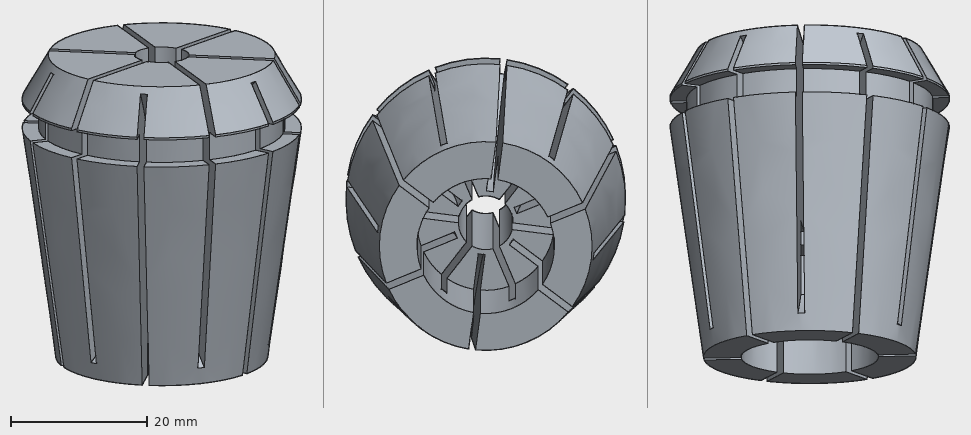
import cadquery as cq
import math


height = 46.0
rim_diameter = 41.0
rim_radius = rim_diameter / 2
nose_angle = 30.0
body_angle = 8.0

groove_bottom = 34.85
groove_top = 39.0
groove_radius = 18.1
rim_thickness = 0.3

bore_radius = 4.0
relief_radius = 10.07
relief_depth = 18.0

slots_per_end = 6
slot_pitch = 360 / slots_per_end
slot_width = 1.0
saw_radius = 39.0
top_slot_mouth_z = 2.55
top_slot_inner_z = 6.9
bottom_slot_gap = 1.0
bottom_slot_mouth_z = height - bottom_slot_gap
bottom_slot_inner_radius = 4.75

overshoot = 2.3

nose_slope = math.tan(math.radians(nose_angle))
body_slope = math.tan(math.radians(body_angle))
nose_base_z = groove_top + rim_thickness
nose_radius = rim_radius - (height - nose_base_z) * nose_slope
foot_radius = rim_radius - groove_bottom * body_slope


def make_body():
    """Revolved body with bore, relief and extraction groove."""
    profile = [
        (bore_radius, height),
        (nose_radius, height),
        (rim_radius, nose_base_z),
        (rim_radius, groove_top),
        (groove_radius, groove_top),
        (groove_radius, groove_bottom),
        (rim_radius, groove_bottom),
        (foot_radius, 0),
        (relief_radius, 0),
        (relief_radius, relief_depth),
        (bore_radius, relief_depth),
    ]
    return cq.Workplane("XZ").polyline(profile).close().revolve(360, (0, 0), (0, 1))


def saw_arc_middle(inner, mouth):
    """Middle of the saw arc from inner to mouth, bulging towards the axis and the mouth level."""
    run = mouth[0] - inner[0]
    rise = mouth[1] - inner[1]
    chord = math.hypot(run, rise)
    bulge = saw_radius - math.sqrt(saw_radius**2 - (chord / 2) ** 2)
    middle_radius = (inner[0] + mouth[0]) / 2 - bulge * abs(rise) / chord
    middle_z = (inner[1] + mouth[1]) / 2 + bulge * math.copysign(run, rise) / chord
    return middle_radius, middle_z


def make_slot(inner, mouth, open_end_z):
    """Radial slot cutter along +X; its floor runs from inner to mouth, given as (radius, z)."""
    outer_radius = rim_radius + overshoot
    return (
        cq.Workplane("XZ")
        .moveTo(0, open_end_z)
        .lineTo(0, inner[1])
        .lineTo(*inner)
        .threePointArc(saw_arc_middle(inner, mouth), mouth)
        .lineTo(outer_radius, mouth[1])
        .lineTo(outer_radius, open_end_z)
        .close()
        .extrude(slot_width / 2, both=True)
    )


top_slot = make_slot(
    inner=(relief_radius, top_slot_inner_z),
    mouth=(foot_radius + top_slot_mouth_z * body_slope, top_slot_mouth_z),
    open_end_z=height + overshoot,
)
bottom_slot = make_slot(
    inner=(bottom_slot_inner_radius, relief_depth),
    mouth=(nose_radius + bottom_slot_gap * nose_slope, bottom_slot_mouth_z),
    open_end_z=-overshoot,
)

result = make_body()
for index in range(slots_per_end):
    top_turn = index * slot_pitch
    bottom_turn = top_turn + slot_pitch / 2
    result = result.cut(top_slot.rotate((0, 0, 0), (0, 0, 1), top_turn))
    result = result.cut(bottom_slot.rotate((0, 0, 0), (0, 0, 1), bottom_turn))